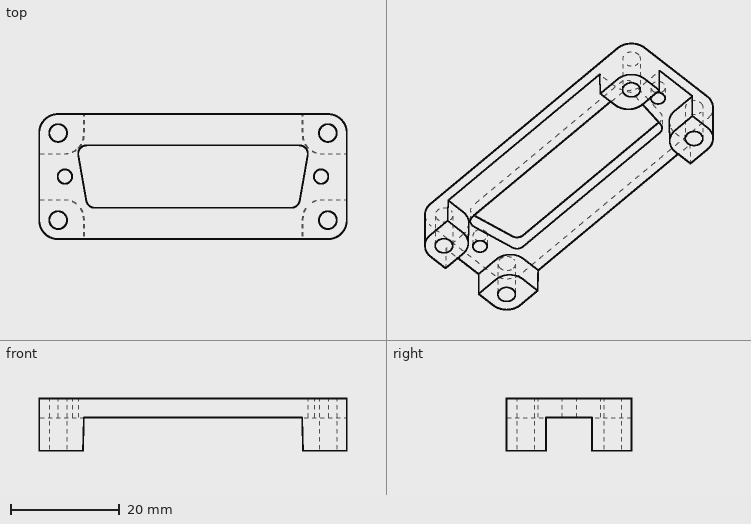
import cadquery as cq
import math

length = 56.5
width = 23.0
height = 9.6
plate_thickness = 3.5
corner_radius = 3.5

leg_length_top = 8.25
leg_length_foot = 8.1
leg_gap = 8.4
leg_inner_radius = 3.5

corner_hole_diameter = 3.2
side_hole_diameter = 2.6
side_hole_x = 23.5

window_width = 11.4
window_mid_length = 40.7
window_side_angle = 10.0
window_radius = 1.5

leg_height = height - plate_thickness


def rounded_block(thickness):
    """Block with the plate outline, standing on Z = 0."""
    return (
        cq.Workplane("XY")
        .box(length, width, thickness, centered=(True, True, False))
        .edges("|Z")
        .fillet(corner_radius)
    )


def leg():
    """Leg at the +X, +Y corner, with its inner corner rounded."""
    profile = [
        (length / 2, 0),
        (length / 2 - leg_length_foot, 0),
        (length / 2 - leg_length_top, leg_height),
        (length / 2, leg_height),
    ]
    leg_width = (width - leg_gap) / 2
    return (
        cq.Workplane("XZ", origin=(0, width / 2, 0))
        .polyline(profile)
        .close()
        .extrude(leg_width)
        .edges(cq.selectors.NearestToPointSelector(
            (length / 2 - leg_length_top, leg_gap / 2, leg_height / 2)
        ))
        .fillet(leg_inner_radius)
    )


def window():
    """Trapezoid cutter, wider towards +Y, with rounded corners."""
    half_width = window_width / 2
    side_shift = half_width * math.tan(math.radians(window_side_angle))
    half_long = window_mid_length / 2 + side_shift
    half_short = window_mid_length / 2 - side_shift
    return (
        cq.Workplane("XY")
        .polyline([
            (-half_long, half_width),
            (half_long, half_width),
            (half_short, -half_width),
            (-half_short, -half_width),
        ])
        .close()
        .extrude(height)
        .edges("|Z")
        .fillet(window_radius)
    )


right_legs = leg().union(leg().mirror("XZ"))
legs = right_legs.union(right_legs.mirror("YZ")).intersect(rounded_block(leg_height))

plate = rounded_block(plate_thickness).translate((0, 0, leg_height))

corner_holes = (
    cq.Workplane("XY")
    .rect(length - 2 * corner_radius, width - 2 * corner_radius, forConstruction=True)
    .vertices()
    .circle(corner_hole_diameter / 2)
    .extrude(height)
)
side_holes = (
    cq.Workplane("XY")
    .pushPoints([(-side_hole_x, 0), (side_hole_x, 0)])
    .circle(side_hole_diameter / 2)
    .extrude(height)
)

result = plate.cut(window()).union(legs).cut(corner_holes).cut(side_holes)